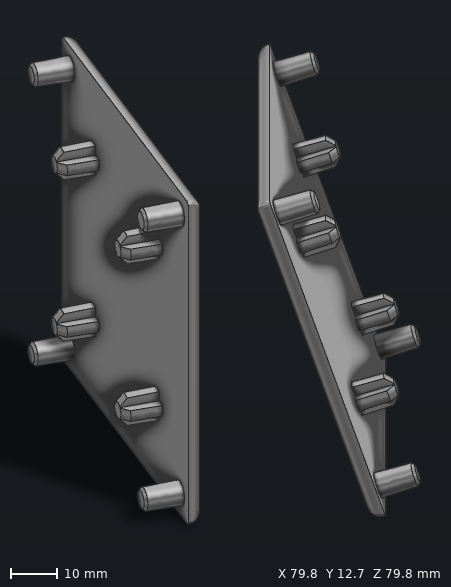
import cadquery as cq
import math

plate_side = 79.8
rim_height = 0.5
edge_radius = 3.0
corner_radius = 1.0
plate_thickness = rim_height + edge_radius

overall_depth = 12.7
post_length = 9.0
label_height = overall_depth - post_length - plate_thickness
label_width = 20.0
label_bottom = 27.0
label_top = 33.0

draft_angle = 1.0

pin_offset = 34.55
pin_base_diameter = 5.7
pin_chamfer = 0.65

cross_offset = 20.0
cross_base_diameter = 7.6
cross_chamfer = 1.7
arm_width = 2.65

draft_inset = post_length * math.tan(math.radians(draft_angle))


def square_pattern(offset):
    """Centres of four posts at the corners of a square."""
    return [(x, z) for x in (-offset, offset) for z in (-offset, offset)]


def mounting_plane():
    """Sketch plane on the mounting face: local x is X, local y is Z, normal is -Y."""
    return cq.Workplane("XZ")


def make_plate():
    """Square plate with a rounded outer face and rounded corners."""
    plate = mounting_plane().rect(plate_side, plate_side).extrude(-plate_thickness)
    plate = plate.faces(">Y").edges().fillet(edge_radius)
    corner_zone = plate_side / 2 - edge_radius
    corner_edges = [
        edge for edge in plate.edges().vals()
        if min(abs(edge.Center().x), abs(edge.Center().z)) > corner_zone
    ]
    return plate.newObject(corner_edges).fillet(corner_radius)


def make_label():
    """Low panel standing on the outer face near the top edge."""
    return (
        cq.Workplane("XZ", origin=(0, plate_thickness, 0))
        .center(0, (label_bottom + label_top) / 2)
        .rect(label_width, label_top - label_bottom)
        .extrude(-label_height)
    )


def make_round_post(base_diameter, chamfer):
    """Drafted round post with a chamfered tip, turned about the Y axis."""
    base_radius = base_diameter / 2
    shoulder_radius = base_radius - draft_inset
    return (
        cq.Workplane("XY")
        .lineTo(base_radius, 0)
        .lineTo(shoulder_radius, chamfer - post_length)
        .lineTo(shoulder_radius - chamfer, -post_length)
        .lineTo(0, -post_length)
        .close()
        .revolve(360, (0, 0), (0, 1))
    )


def make_cross_post():
    """Round post reduced to four arms, so the arm ends stay round."""
    bar_along_x = mounting_plane().rect(cross_base_diameter, arm_width).extrude(post_length)
    bar_along_z = mounting_plane().rect(arm_width, cross_base_diameter).extrude(post_length)
    round_post = make_round_post(cross_base_diameter, cross_chamfer)
    return round_post.intersect(bar_along_x.union(bar_along_z))


def place(post, offset, body):
    """Join four copies of a post to the body in a square pattern."""
    for x, z in square_pattern(offset):
        body = body.union(post.translate((x, 0, z)))
    return body


pin = make_round_post(pin_base_diameter, pin_chamfer)
cross_post = make_cross_post()

result = make_plate().union(make_label())
result = place(pin, pin_offset, result)
result = place(cross_post, cross_offset, result)